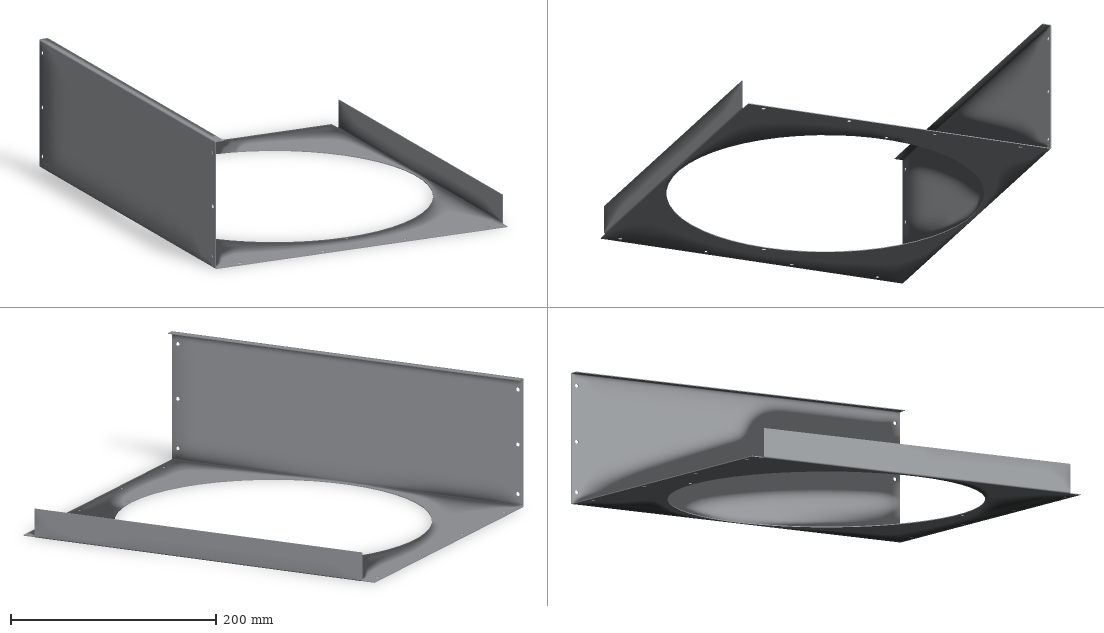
import cadquery as cq

width = 385.0
depth = 320.0
height = 130.0
thickness = 0.8
bend_radius = 1.5

lip_depth = 9.2
rear_flange_height = 29.3
rear_flange_inset = 13.0

opening_diameter = 310.0
hole_diameter = 4.0
edge_hole_x = width / 2 - 6.0
opening_hole_x = 159.5
first_base_hole_y = -130.0
base_hole_pitch = 90.0
base_hole_count = 4
front_hole_heights = (12.5, 62.5, 118.0)

front_y = -depth / 2
rear_y = depth / 2


def block(size_x, size_y, size_z, y_min, z_min):
    """Box centred on X, placed by its front and bottom faces."""
    box = cq.Workplane("XY").box(size_x, size_y, size_z, centered=(True, False, False))
    return box.translate((0, y_min, z_min))


def mirrored_points(x, others):
    """Points at +x and -x for each value of the second coordinate."""
    return [(side * x, other) for side in (-1, 1) for other in others]


sleeve_outside = block(width, depth, height, front_y, 0).edges("|X").fillet(bend_radius)
sleeve_inside = (
    block(width, depth - 2 * thickness, height - 2 * thickness, front_y + thickness, thickness)
    .edges("|X")
    .fillet(bend_radius - thickness)
)
sleeve = sleeve_outside.cut(sleeve_inside)

open_space = block(
    width, depth - lip_depth, height - rear_flange_height, front_y + lip_depth, rear_flange_height
)
folded_sheet = sleeve.cut(open_space)

flange_width = width - 2 * rear_flange_inset
flange_ends = block(width, bend_radius, rear_flange_height, rear_y - bend_radius, 0).cut(
    block(flange_width, bend_radius, rear_flange_height, rear_y - bend_radius, 0)
)

base_hole_ys = [first_base_hole_y + i * base_hole_pitch for i in range(base_hole_count)]
base_holes = mirrored_points(edge_hole_x, base_hole_ys) + mirrored_points(opening_hole_x, [0])
base_cutter = (
    cq.Workplane("XY")
    .circle(opening_diameter / 2)
    .extrude(thickness)
    .union(cq.Workplane("XY").pushPoints(base_holes).circle(hole_diameter / 2).extrude(thickness))
)

front_cutter = (
    cq.Workplane("XZ", origin=(0, front_y, 0))
    .pushPoints(mirrored_points(edge_hole_x, front_hole_heights))
    .circle(hole_diameter / 2)
    .extrude(-thickness)
)

result = folded_sheet.cut(flange_ends).cut(base_cutter).cut(front_cutter)